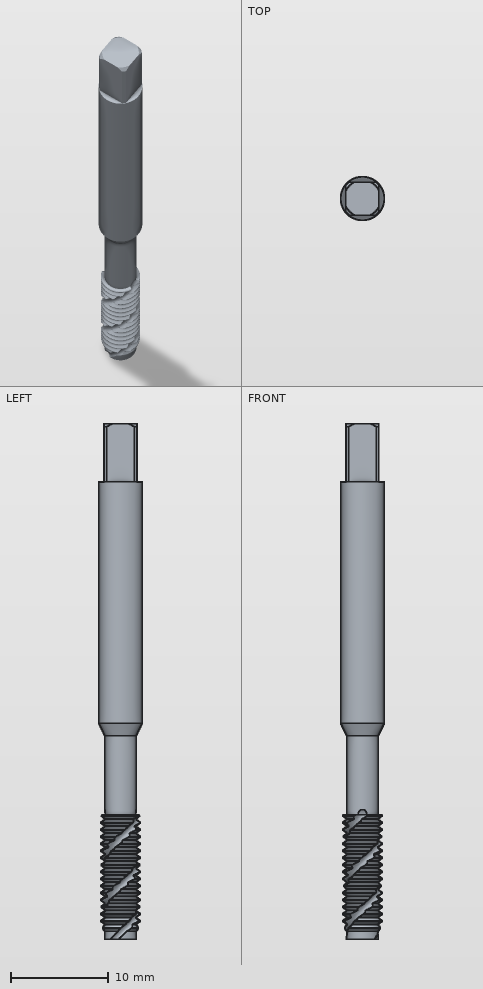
import cadquery as cq

total_length = 53.0
cutting_length = 12.8
shoulder_bottom = 20.95
shoulder_top = 22.2

shank_radius = 4.5 / 2
neck_radius = 3.3 / 2
square_length = 6.0
square_bottom = total_length - square_length
square_width = 3.4
square_corner_radius = 4.4 / 2
square_chamfer = 0.3

crest_radius = 4.05 / 2
root_radius = neck_radius
ridge_count = 17
top_ridge_height = 12.7
bottom_ridge_height = 1.15
ridge_pitch = (top_ridge_height - bottom_ridge_height) / (ridge_count - 1)
ridge_base_width = 0.65
ridge_crest_width = 0.1

lead_start_height = 0.5
lead_end_height = 1.8

flute_count = 2
flute_lead = 9.75
flute_radius = 0.75
flute_floor_radius = 1.45
flute_center_radius = flute_floor_radius + flute_radius
flute_twist = 360 * cutting_length / flute_lead
flute_end_angles = [-90 + i * 360 / flute_count for i in range(flute_count)]


def cylinder(radius, bottom, top):
    return cq.Workplane("XY").workplane(offset=bottom).circle(radius).extrude(top - bottom)


def revolved(outline):
    """Solid of revolution about Z from (radius, height) points."""
    return cq.Workplane("XZ").polyline(outline).close().revolve(360, (0, 0, 0), (0, 1, 0))


def turned_about_axis(shape, angle):
    return shape.rotate((0, 0, 0), (0, 0, 1), angle)


def flute_cutter(end_angle):
    """Round bar wound about the axis over the whole cutting part."""
    bar = (
        cq.Workplane("XY")
        .moveTo(flute_center_radius, 0)
        .circle(flute_radius)
        .twistExtrude(cutting_length, flute_twist)
    )
    return turned_about_axis(bar, end_angle - flute_twist)


def flute_runout(end_angle):
    """Ball that rounds off the upper end of a flute in the neck."""
    ball = cq.Workplane("XY").sphere(flute_radius).translate((flute_center_radius, 0, cutting_length))
    return turned_about_axis(ball, end_angle)


def square_drive():
    """Square end with turned corners and a turned chamfer on top."""
    blank = cylinder(square_corner_radius, square_bottom, total_length)
    blank = blank.faces(">Z").chamfer(square_chamfer)
    square = (
        cq.Workplane("XY")
        .workplane(offset=square_bottom)
        .rect(square_width, square_width)
        .extrude(square_length)
    )
    return blank.intersect(square)


def make_shank():
    body = revolved([
        (0, cutting_length),
        (neck_radius, cutting_length),
        (neck_radius, shoulder_bottom),
        (shank_radius, shoulder_top),
        (shank_radius, square_bottom),
        (0, square_bottom),
    ])
    body = body.union(square_drive())
    for angle in flute_end_angles:
        body = body.cut(flute_runout(angle))
    return body


def ridge_radius(height):
    """Crest radius of a ridge, reduced inside the tapered lead."""
    share = (height - lead_start_height) / (lead_end_height - lead_start_height)
    return root_radius + (crest_radius - root_radius) * min(share, 1)


def ridge_outline(height):
    radius = ridge_radius(height)
    return [
        (root_radius, height - ridge_base_width / 2),
        (radius, height - ridge_crest_width / 2),
        (radius, height + ridge_crest_width / 2),
        (root_radius, height + ridge_base_width / 2),
    ]


def make_cutting_part():
    outline = [(0, 0), (root_radius, 0)]
    for i in range(ridge_count):
        outline += ridge_outline(bottom_ridge_height + i * ridge_pitch)
    outline.append((0, top_ridge_height + ridge_base_width / 2))
    body = revolved(outline).intersect(cylinder(shank_radius, 0, cutting_length))
    for angle in flute_end_angles:
        body = body.cut(flute_cutter(angle))
    return body


shank = make_shank().solids()
cutting_part = make_cutting_part().solids()
result = cq.Compound.makeCompound([shank.val(), cutting_part.val()])